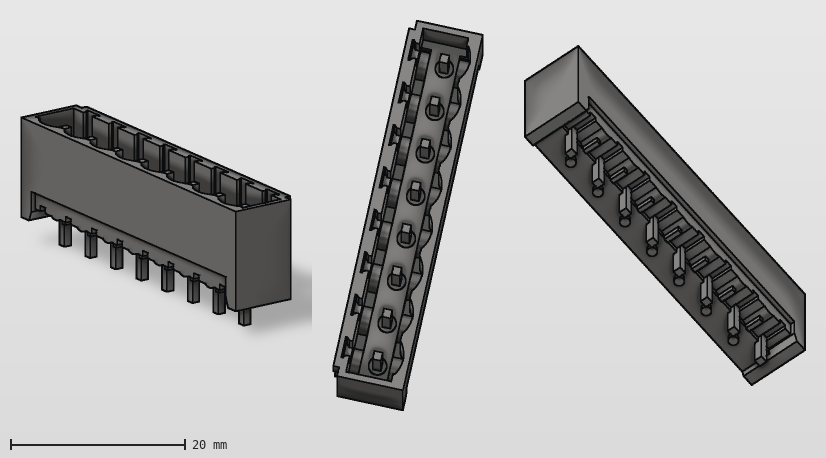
import cadquery as cq
import math


length = 42.55
body_depth = 7.75
body_height = 12.05

pin_count = 8
row_length = 35.55
pitch = row_length / (pin_count - 1)
pin_size = 0.98
pin_y = 3.75
pin_top = 11.1
pin_bottom = -3.15
pin_positions = [length / 2 + (i - (pin_count - 1) / 2) * pitch for i in range(pin_count)]
gap_positions = [x + pitch / 2 for x in pin_positions[:-1]]

end_wall = 0.72
cavity_front = 1.55
cavity_back = 6.85
scallop_radius = 3.3
scallop_front = 0.75
scallop_y = scallop_front + scallop_radius
seat_diameter = 2.1
seat_depth = 0.2

strip_height = 5.1
strip_front = 2.3
strip_back = 5.7
trough_height = 3.75
trough_end_wall = 1.65
ridge_radius = 1.55
ridge_slope = 57.5
ridge_half_width = 1.65

slot_back_width = 2.42
slot_width = 1.8
slot_neck_y = 7.27
slot_flare_y = 7.57
slot_bottom = 7.8

flange_inset = 1.05
flange_back = 8.42
flange_height = 3.25
rib_back = 8.25
rib_bottom = 6.0
rib_top = 6.75

leg_width = 2.0
leg_chamfer_width = 0.45
leg_chamfer_height = 1.15
recess_depth = 0.55
recess_top = 3.6
floor_bottom = 1.4
channel_top = 2.1
lobe_half_width = 0.85
lobe_drop = 0.25
heel_bottom = 0.65
web_width = 0.6
web_front = 1.7
web_bottom = 0.4
peg_diameter = 1.2
peg_y = 5.75


def block(x0, x1, y0, y1, z0, z1):
    """Box between two opposite corners."""
    return cq.Workplane("XY").box(x1 - x0, y1 - y0, z1 - z0, centered=False).translate((x0, y0, z0))


def extrude_along_y(profile, y0, y1):
    """Extrude an XZ profile, drawn in the plane y = 0, from y0 to y1."""
    return profile.extrude(-(y1 - y0)).translate((0, y0, 0))


def scallops(bottom, top):
    """Round hollows in the front wall, one at each pin, clear of the end walls."""
    front = block(trough_end_wall, length - trough_end_wall, 0, strip_front, bottom, top)
    hollows = cq.Workplane("XY")
    for x in pin_positions:
        hollow = cq.Workplane("XY").center(x, scallop_y).circle(scallop_radius).extrude(top - bottom)
        hollows = hollows.union(hollow.translate((0, 0, bottom)))
    return hollows.intersect(front)


def cavity():
    """Cavity above the floor strip, with a round seat sunk around each pin."""
    space = block(end_wall, length - end_wall, cavity_front, cavity_back, strip_height, body_height)
    space = space.union(scallops(strip_height, body_height))
    seats = cq.Workplane("XY").pushPoints([(x, pin_y) for x in pin_positions]).circle(seat_diameter / 2)
    return space.union(seats.extrude(seat_depth).translate((0, 0, strip_height - seat_depth)))


def ridge_profile(x):
    """Ridge section: round crest running into two straight flanks."""
    angle = math.radians(ridge_slope)
    tangent_x = ridge_radius * math.sin(angle)
    flank_drop = (ridge_half_width - tangent_x) * math.tan(angle)
    tangent_z = trough_height + flank_drop
    crest_z = tangent_z + ridge_radius * (1 - math.cos(angle))
    return (
        cq.Workplane("XZ")
        .moveTo(x - ridge_half_width, trough_height)
        .lineTo(x - tangent_x, tangent_z)
        .threePointArc((x, crest_z), (x + tangent_x, tangent_z))
        .lineTo(x + ridge_half_width, trough_height)
        .close()
    )


def troughs():
    """Two troughs beside the raised strip, leaving a ridge at each pin."""
    x0 = trough_end_wall
    x1 = length - trough_end_wall
    space = block(x0, x1, strip_back, cavity_back, trough_height, strip_height)
    space = space.union(block(x0, x1, cavity_front, strip_front, trough_height, strip_height))
    space = space.union(scallops(trough_height, strip_height))
    for x in pin_positions:
        space = space.cut(extrude_along_y(ridge_profile(x), 0, body_depth))
    return space


def dovetail_slot(x):
    """Slot down the back wall, wider at the back."""
    half_neck = slot_width / 2
    half_back = slot_back_width / 2
    outline = [
        (x - half_neck, cavity_back),
        (x - half_neck, slot_neck_y),
        (x - half_back, slot_flare_y),
        (x - half_back, body_depth),
        (x + half_back, body_depth),
        (x + half_back, slot_flare_y),
        (x + half_neck, slot_neck_y),
        (x + half_neck, cavity_back),
    ]
    slot = cq.Workplane("XY").polyline(outline).close()
    return slot.extrude(body_height - slot_bottom).translate((0, 0, slot_bottom))


def foot_opening():
    """Space between the two end legs, whose inner edges are chamfered at the bottom."""
    right = length - leg_width
    outline = [
        (leg_width - leg_chamfer_width, 0),
        (leg_width, leg_chamfer_height),
        (leg_width, floor_bottom),
        (right, floor_bottom),
        (right, leg_chamfer_height),
        (right + leg_chamfer_width, 0),
    ]
    return extrude_along_y(cq.Workplane("XZ").polyline(outline).close(), 0, body_depth)


def floor_lobe(x):
    """Shallow round lobe under the floor between two pins."""
    profile = (
        cq.Workplane("XZ")
        .moveTo(x - lobe_half_width, floor_bottom)
        .threePointArc((x, floor_bottom - lobe_drop), (x + lobe_half_width, floor_bottom))
        .close()
    )
    return extrude_along_y(profile, recess_depth, pin_y)


result = block(0, length, 0, body_depth, 0, body_height)
result = result.cut(cavity()).cut(troughs())
for x in pin_positions:
    result = result.cut(dovetail_slot(x))

flange_right = length - flange_inset
flange_bottom = body_height - flange_height
result = result.union(block(flange_inset, flange_right, body_depth, flange_back, flange_bottom, body_height))
result = result.union(block(flange_inset, flange_right, body_depth, rib_back, rib_bottom, rib_top))

heel = block(0, length, pin_y, body_depth, heel_bottom, floor_bottom)
result = result.cut(foot_opening().cut(heel))
result = result.cut(block(leg_width, length - leg_width, 0, recess_depth, 0, recess_top))

for x in gap_positions:
    result = result.union(floor_lobe(x))
    result = result.union(
        block(x - web_width / 2, x + web_width / 2, web_front, pin_y, web_bottom, floor_bottom)
    )
    peg = cq.Workplane("XY").center(x, peg_y).circle(peg_diameter / 2).extrude(heel_bottom)
    result = result.union(peg)

half_pin = pin_size / 2
for x in pin_positions:
    channel = block(x - half_pin, x + half_pin, recess_depth, pin_y, floor_bottom, channel_top)
    pin = block(x - half_pin, x + half_pin, pin_y - half_pin, pin_y + half_pin, pin_bottom, pin_top)
    result = result.cut(channel).union(pin)